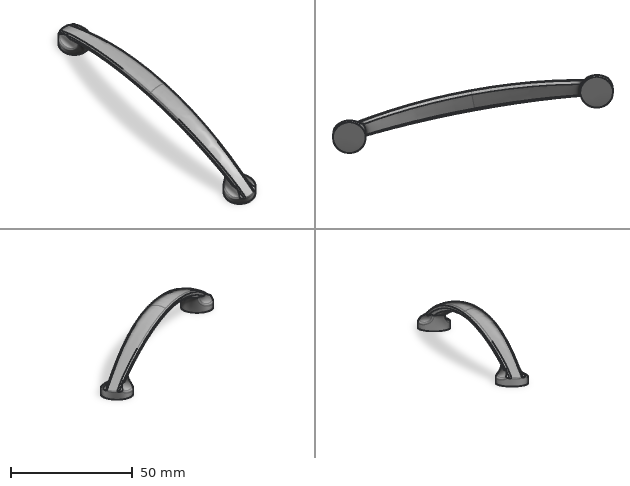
import cadquery as cq
import math

length = 116.8
height = 20.0

foot_diameter = 13.4
foot_radius = foot_diameter / 2
foot_center_x = -(length / 2 - foot_radius)
foot_inner_x = foot_center_x + foot_radius
foot_rim_height = 3.2
neck_half_width = 2.8
neck_height = 6.9
foot_edge_round = 0.9

end_height = 3.6
tip_round = 0.6
middle_thickness = 3.7
underside_foot_height = 6.8

middle_half_width = 4.3
foot_half_width = 3.0
middle_crown = 0.9
foot_crown = 0.1
shoulder_inset = 0.8
shoulder_drop = 0.7
underside_width_ratio = 0.7
side_height_ratio = 0.5
section_count = 7


def arc_radius(half_chord, rise):
    return (half_chord**2 + rise**2) / (2 * rise)


underside_middle = height - middle_thickness
top_radius = arc_radius(length / 2, height - end_height)
underside_radius = arc_radius(foot_inner_x, underside_middle - underside_foot_height)


def arc_height(x, peak, radius):
    return peak - radius + math.sqrt(radius**2 - x**2)


def bow_section(x):
    """Crowned section with beveled shoulders, narrower and flatter toward the foot."""
    closeness = max(0.0, 1 - (x / foot_center_x) ** 2)
    half_width = foot_half_width + (middle_half_width - foot_half_width) * closeness
    crown = foot_crown + (middle_crown - foot_crown) * closeness
    top = arc_height(x, height, top_radius)
    bottom = arc_height(x, underside_middle, underside_radius)
    face_half = half_width - shoulder_inset
    face_edge = top - crown
    shoulder = face_edge - shoulder_drop
    side_foot = bottom + side_height_ratio * (shoulder - bottom)
    bottom_half = half_width * underside_width_ratio
    return (
        cq.Workplane("YZ", origin=(x, 0, 0))
        .moveTo(-face_half, face_edge)
        .threePointArc((0, top), (face_half, face_edge))
        .lineTo(half_width, shoulder)
        .lineTo(half_width, side_foot)
        .lineTo(bottom_half, bottom)
        .lineTo(-bottom_half, bottom)
        .lineTo(-half_width, side_foot)
        .lineTo(-half_width, shoulder)
        .close()
        .wires()
        .val()
    )


def foot_cylinder():
    return cq.Workplane("XY").center(foot_center_x, 0).circle(foot_radius).extrude(height)


def half_bow():
    """Left half of the bow, its end cut to the outline of the foot and its tip rounded."""
    stations = [-length / 2 * i / (section_count - 1) for i in range(section_count)]
    bow = cq.Workplane(cq.Solid.makeLoft([bow_section(x) for x in stations]))
    inner_length = -foot_center_x
    inner_zone = cq.Workplane("XY").box(inner_length, foot_diameter, height, centered=(False, True, False))
    envelope = foot_cylinder().union(inner_zone.translate((foot_center_x, 0, 0)))
    bow = bow.intersect(envelope)
    tip_point = (-length / 2, 0, end_height)
    return bow.edges(cq.selectors.NearestToPointSelector(tip_point)).fillet(tip_round)


def foot():
    """Round foot with concave flanks sweeping up to the bow and a softened rim."""
    flank_run = foot_radius - neck_half_width
    flank_rise = neck_height - foot_rim_height
    bulge = 1 - math.sqrt(0.5)
    flank_y = neck_half_width + bulge * flank_run
    flank_z = foot_rim_height + bulge * flank_rise
    flared = (
        cq.Workplane("YZ", origin=(-length / 2, 0, 0))
        .moveTo(-foot_radius, 0)
        .lineTo(foot_radius, 0)
        .lineTo(foot_radius, foot_rim_height)
        .threePointArc((flank_y, flank_z), (neck_half_width, neck_height))
        .lineTo(-neck_half_width, neck_height)
        .threePointArc((-flank_y, flank_z), (-foot_radius, foot_rim_height))
        .close()
        .extrude(foot_diameter)
    )
    below_bow = (
        cq.Workplane("XZ")
        .center(0, height - top_radius)
        .circle(top_radius - tip_round)
        .extrude(foot_radius, both=True)
    )
    body = foot_cylinder().intersect(flared)
    rim = cq.selectors.BoxSelector(
        (-length, -length, foot_rim_height / 2), (0, length, neck_height - foot_edge_round)
    )
    body = body.edges(rim).fillet(foot_edge_round)
    return body.intersect(below_bow)


half = half_bow().union(foot())
result = half.union(half.mirror("YZ"))